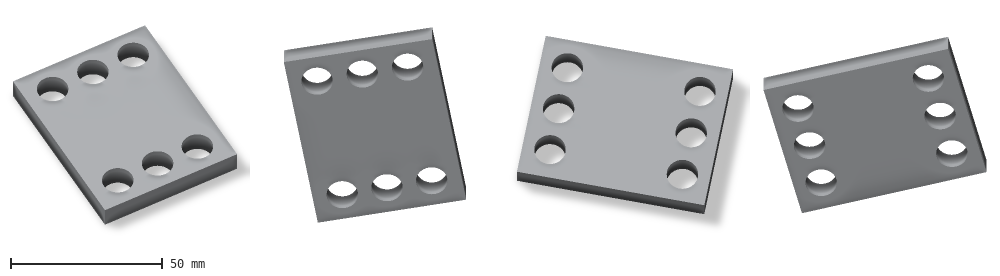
import cadquery as cq

length = 63.0
width = 49.75
thickness = 7.5

hole_diameter = 10.4
column_spacing = 44.6
front_row_y = -15.0
left_pitch = 15.2
right_pitch = 15.0
holes_per_column = 3


def hole_column(x, pitch):
    """Centers of one column of holes, from the front row towards +Y."""
    return [(x, front_row_y + i * pitch) for i in range(holes_per_column)]


hole_centers = (
    hole_column(-column_spacing / 2, left_pitch)
    + hole_column(column_spacing / 2, right_pitch)
)

plate = cq.Workplane("XY").box(length, width, thickness)
result = plate.faces(">Z").workplane().pushPoints(hole_centers).hole(hole_diameter)